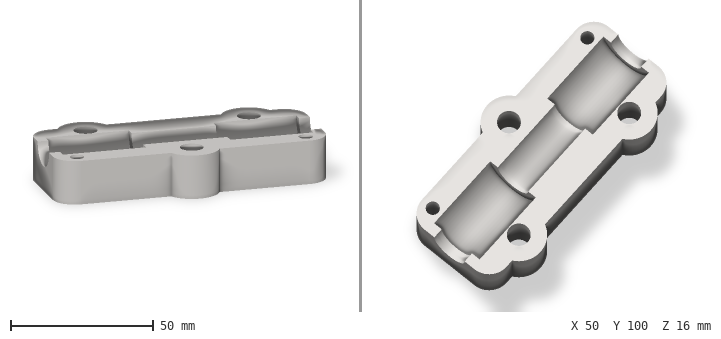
import cadquery as cq

length = 100.0
height = 16.0
body_width = 39.0
corner_radius = 8.0

ear_radius = 10.0
ear_offset = 15.0
ear_spacing = 30.0
screw_diameter = 8.4
ear_centers = [(-ear_offset, -ear_spacing), (-ear_offset, ear_spacing), (ear_offset, 0)]

dowel_diameter = 5.0
dowel_x = 14.5
dowel_y = 42.0
dowel_centers = [(dowel_x, -dowel_y), (dowel_x, dowel_y)]

channel_diameter = 14.0
seat_diameter = 21.0
seat_length = 30.5
end_wall = 4.0


def cylinder_along_y(diameter, start_y, extent):
    """Cylinder on the top face's centre line, running toward +Y from start_y."""
    return (
        cq.Workplane("XZ", origin=(0, start_y, height))
        .circle(diameter / 2)
        .extrude(-extent)
    )


def make_blank():
    """Rounded block joined with the full-height ears."""
    body = (
        cq.Workplane("XY")
        .rect(body_width, length)
        .extrude(height)
        .edges("|Z")
        .fillet(corner_radius)
    )
    ears = cq.Workplane("XY").pushPoints(ear_centers).circle(ear_radius).extrude(height)
    return body.union(ears)


def through_holes(centers, diameter):
    return cq.Workplane("XY").pushPoints(centers).circle(diameter / 2).extrude(height)


result = make_blank()
result = result.cut(through_holes(ear_centers, screw_diameter))
result = result.cut(through_holes(dowel_centers, dowel_diameter))

result = result.cut(cylinder_along_y(channel_diameter, -length / 2, length))
for seat_start in (end_wall - length / 2, length / 2 - end_wall - seat_length):
    result = result.cut(cylinder_along_y(seat_diameter, seat_start, seat_length))